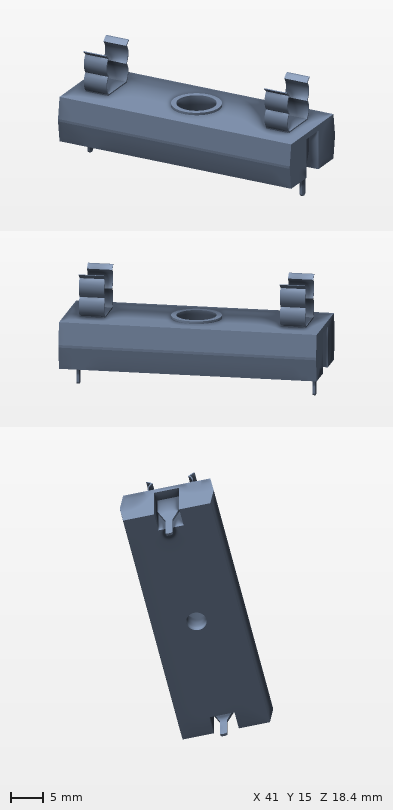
import cadquery as cq
import math

body_length = 41.0
body_height = 7.5
body_width = 15.0
face_width = 14.0
side_band_height = 0.4

collar_diameter = 8.0
collar_height = 0.4
counterbore_diameter = 6.3
counterbore_depth = 4.4
bore_diameter = 3.2

slot_width = 4.0
slot_depth = 3.0
slot_roof_thickness = 1.0
pin_thickness = 0.4
pin_setback = 1.5
pin_blade_width = 3.6
pin_leg_width = 1.15
pin_shoulder_z = 3.1
pin_projection = 4.0
pin_tip_radius = 0.4

clip_length = 4.0
clip_centre_x = body_length / 2 - 4.5
clip_height = 6.95
sheet_thickness = 0.2
clip_outer_half_width = 3.65
lobe_outer_radius = 2.45
lobe_pitch = 3.05
lip_half_width = 3.9
lip_edge_width = 0.33


def make_body():
    middle_z = body_height / 2
    half_band = side_band_height / 2
    right_side = [
        (face_width / 2, 0),
        (body_width / 2, middle_z - half_band),
        (body_width / 2, middle_z + half_band),
        (face_width / 2, body_height),
    ]
    left_side = [(-y, z) for y, z in reversed(right_side)]
    body = (
        cq.Workplane("YZ")
        .polyline(right_side + left_side)
        .close()
        .extrude(body_length / 2, both=True)
    )
    collar = (
        cq.Workplane("XY")
        .workplane(offset=body_height)
        .circle(collar_diameter / 2)
        .extrude(collar_height)
    )
    return (
        body.union(collar)
        .faces(">Z")
        .workplane(origin=(0, 0, 0))
        .cboreHole(bore_diameter, counterbore_diameter, counterbore_depth)
    )


def make_slot():
    """Slot in the -X end, open to the end face and the underside."""
    return cq.Workplane("XY").box(
        slot_depth, slot_width, body_height - slot_roof_thickness,
        centered=(False, True, False),
    ).translate((-body_length / 2, 0, 0))


def make_pin():
    """Flat pin hanging from the roof of the -X slot."""
    right_edge = [
        (pin_leg_width / 2, -pin_projection),
        (pin_leg_width / 2, 0),
        (pin_blade_width / 2, pin_shoulder_z),
        (pin_blade_width / 2, body_height - slot_roof_thickness),
    ]
    left_edge = [(-y, z) for y, z in reversed(right_edge)]
    return (
        cq.Workplane("YZ")
        .workplane(offset=pin_setback - body_length / 2)
        .polyline(right_edge + left_edge)
        .close()
        .extrude(pin_thickness)
        .faces("<Z")
        .edges("|X")
        .fillet(pin_tip_radius)
    )


def make_clip():
    """U-shaped sheet clip on the -X half, two lobes and a flared lip per leg."""
    lobe_inner_radius = lobe_outer_radius - sheet_thickness
    lobe_centre_y = clip_outer_half_width - lobe_outer_radius
    half_pitch = lobe_pitch / 2
    waist_outer = lobe_centre_y + math.sqrt(lobe_outer_radius**2 - half_pitch**2)
    waist_inner = lobe_centre_y + math.sqrt(lobe_inner_radius**2 - half_pitch**2)
    clip_inner_half_width = clip_outer_half_width - sheet_thickness
    lobe_bottoms = [sheet_thickness, sheet_thickness + lobe_pitch]

    half = (
        cq.Workplane("YZ")
        .workplane(offset=-clip_centre_x)
        .moveTo(0, body_height)
        .lineTo(waist_outer, body_height)
        .lineTo(waist_outer, body_height + sheet_thickness)
    )
    for bottom in lobe_bottoms:
        z = body_height + bottom
        half = half.threePointArc(
            (clip_outer_half_width, z + half_pitch), (waist_outer, z + lobe_pitch)
        )
    lip_z = body_height + clip_height
    half = (
        half.lineTo(lip_half_width, lip_z)
        .lineTo(lip_half_width - lip_edge_width, lip_z)
        .lineTo(waist_inner, body_height + lobe_bottoms[-1] + lobe_pitch)
    )
    for bottom in reversed(lobe_bottoms):
        z = body_height + bottom
        half = half.threePointArc(
            (clip_inner_half_width, z + half_pitch), (waist_inner, z)
        )
    half = (
        half.lineTo(0, body_height + sheet_thickness)
        .close()
        .extrude(clip_length / 2, both=True)
    )
    return half.union(half.mirror("XZ"))


slot = make_slot()
end_fittings = make_pin().union(make_clip())

result = make_body().cut(slot).cut(slot.mirror("YZ"))
result = result.union(end_fittings).union(end_fittings.mirror("YZ"))